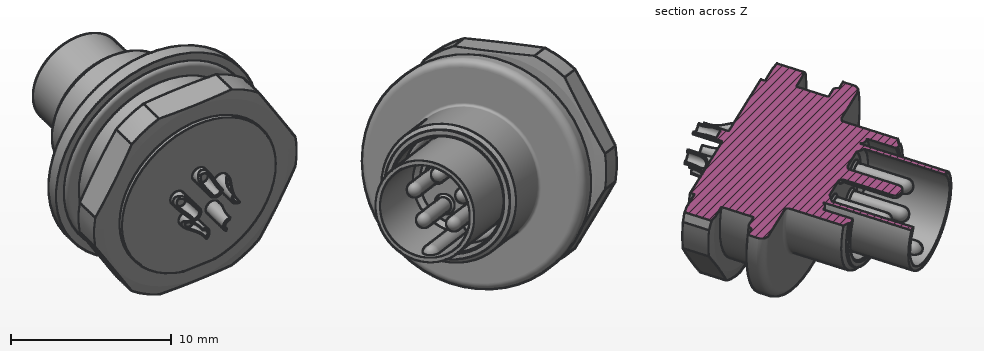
import cadquery as cq
import math

LENGTH = 15.9
TUBE_RADIUS = 6.6 / 2
TUBE_BORE_RADIUS = 6.0 / 2
BORE_FLOOR_RADIUS = 2.65
BORE_FLOOR_X = 5.88

COLLAR_X = 3.69
COLLAR_RADIUS = 9.0 / 2
COLLAR_LIP_RADIUS = 8.38 / 2
COLLAR_LIP_END_X = 3.83
COLLAR_CONE_END_X = 4.02
COLLAR_ROOT_FILLET = 0.19

FLANGE_X = 7.92
FLANGE_END_X = 9.15
FLANGE_RADIUS = 15.0 / 2
FLANGE_FILLET = 0.5

WASHER_END_X = 9.45
WASHER_RADIUS = 6.92
WASHER_FILLET = 0.3

THREAD_RADIUS = 12.0 / 2
NUT_X = 11.6
NUT_END_X = 13.61
BODY_END_X = 13.9
BODY_END_RADIUS = 5.7

GROOVE_RADIUS = 7.5 / 2
GROOVE_MOUTH_RADIUS = 3.85
SEAL_SECTION_RADIUS = 0.32
SEAL_X = 6.04

KEYWAY_WIDTH = 2.32
KEYWAY_FLOOR_Z = -5.56

NUT_ACROSS_FLATS = 13.99
NUT_CORNER_RADIUS = FLANGE_RADIUS
NUT_FACE_RADIUS = 6.84
NUT_CHAMFER_LENGTH = 0.11

PIN_CIRCLE_RADIUS = 1.7
PIN_RADIUS = 1.0 / 2
PIN_NOSE_X = 2.38
PIN_BASE_RADIUS = 0.67
CUP_RADIUS = 0.7 / 2
CUP_FLOOR_X = 14.37
CUP_LIP_OFFSET = -0.13
CUP_CUT_RADIUS = 2.07
CUP_CUT_END_X = 15.68
PIN_ANGLES = (0, 72, 144, -144, -72)
CUP_ANGLES = (0, 60, 108, -108, -60)

KEY_NOSE_X = 1.1
KEY_RADIUS = 0.57
KEY_BASE_RADIUS = 0.86
KEY_AXIS_Z = -3.05


def cylinder(x_start, x_end, radius):
    """Solid cylinder on the X axis between two stations."""
    return cq.Workplane("YZ", origin=(x_start, 0, 0)).circle(radius).extrude(x_end - x_start)


def revolve_about_x(profile):
    """Turn an open profile, drawn in the XY plane, once around the X axis."""
    return profile.close().revolve(360, (0, 0, 0), (1, 0, 0))


def make_shell():
    """Turned outer body: tube, collar, flange, washer and threaded end."""
    shell = revolve_about_x(
        cq.Workplane("XY")
        .lineTo(0, TUBE_RADIUS)
        .lineTo(COLLAR_X, TUBE_RADIUS)
        .lineTo(COLLAR_X, COLLAR_LIP_RADIUS)
        .lineTo(COLLAR_LIP_END_X, COLLAR_LIP_RADIUS)
        .lineTo(COLLAR_CONE_END_X, COLLAR_RADIUS)
        .lineTo(FLANGE_X - COLLAR_ROOT_FILLET, COLLAR_RADIUS)
        .radiusArc((FLANGE_X, COLLAR_RADIUS + COLLAR_ROOT_FILLET), -COLLAR_ROOT_FILLET)
        .lineTo(FLANGE_X, FLANGE_RADIUS - FLANGE_FILLET)
        .radiusArc((FLANGE_X + FLANGE_FILLET, FLANGE_RADIUS), FLANGE_FILLET)
        .lineTo(FLANGE_END_X, FLANGE_RADIUS)
        .lineTo(FLANGE_END_X, WASHER_RADIUS)
        .radiusArc((WASHER_END_X, WASHER_RADIUS - WASHER_FILLET), WASHER_FILLET)
        .lineTo(WASHER_END_X, THREAD_RADIUS)
        .lineTo(NUT_END_X, THREAD_RADIUS)
        .lineTo(NUT_END_X, BODY_END_RADIUS)
        .lineTo(BODY_END_X, BODY_END_RADIUS)
        .lineTo(BODY_END_X, 0)
    )
    keyway_length = BODY_END_X - WASHER_END_X
    keyway_depth = THREAD_RADIUS + KEYWAY_FLOOR_Z
    keyway = cq.Workplane("XY", origin=(WASHER_END_X, 0, -THREAD_RADIUS)).box(
        keyway_length, KEYWAY_WIDTH, keyway_depth, centered=(False, True, False)
    )
    return shell.cut(keyway)


def make_tube_bore():
    """Bore of the tube, with a 45 degree cone down to its flat floor."""
    cone_length = TUBE_BORE_RADIUS - BORE_FLOOR_RADIUS
    return revolve_about_x(
        cq.Workplane("XY")
        .lineTo(0, TUBE_BORE_RADIUS)
        .lineTo(BORE_FLOOR_X - cone_length, TUBE_BORE_RADIUS)
        .lineTo(BORE_FLOOR_X, BORE_FLOOR_RADIUS)
        .lineTo(BORE_FLOOR_X, 0)
    )


def make_seal_groove():
    """Ring-shaped gap around the tube, with a chamfered mouth."""
    chamfer = GROOVE_MOUTH_RADIUS - GROOVE_RADIUS
    return revolve_about_x(
        cq.Workplane("XY")
        .moveTo(COLLAR_X, TUBE_RADIUS)
        .lineTo(COLLAR_X, GROOVE_MOUTH_RADIUS)
        .lineTo(COLLAR_X + chamfer, GROOVE_RADIUS)
        .lineTo(SEAL_X, GROOVE_RADIUS)
        .lineTo(SEAL_X, TUBE_RADIUS)
    )


def make_seal():
    """Sealing ring on the tube, at the floor of the groove."""
    center_radius = TUBE_RADIUS + SEAL_SECTION_RADIUS
    return (
        cq.Workplane("XY")
        .center(SEAL_X, center_radius)
        .circle(SEAL_SECTION_RADIUS)
        .revolve(360, (0, -center_radius, 0), (1, -center_radius, 0))
    )


def make_nut():
    """Hexagon with turned corners on +Y and -Y, chamfered on both faces."""
    hexagon = (
        cq.Workplane("YZ", origin=(NUT_X, 0, 0))
        .polygon(6, NUT_ACROSS_FLATS, circumscribed=True)
        .extrude(NUT_END_X - NUT_X)
        .rotate((0, 0, 0), (1, 0, 0), 90)
    )
    turned_blank = revolve_about_x(
        cq.Workplane("XY")
        .moveTo(NUT_X, 0)
        .lineTo(NUT_X, NUT_FACE_RADIUS)
        .lineTo(NUT_X + NUT_CHAMFER_LENGTH, NUT_CORNER_RADIUS)
        .lineTo(NUT_END_X - NUT_CHAMFER_LENGTH, NUT_CORNER_RADIUS)
        .lineTo(NUT_END_X, NUT_FACE_RADIUS)
        .lineTo(NUT_END_X, 0)
    )
    return hexagon.intersect(turned_blank).cut(cylinder(NUT_X, NUT_END_X, BODY_END_RADIUS))


def round_nosed_rod(nose_x, radius, base_radius, end_x):
    """Rod on the X axis with a hemispherical nose, flaring at 45 degrees onto the bore floor."""
    rod = revolve_about_x(
        cq.Workplane("XY")
        .moveTo(nose_x - radius, 0)
        .radiusArc((nose_x, radius), radius)
        .lineTo(end_x, radius)
        .lineTo(end_x, 0)
    )
    flare_x = BORE_FLOOR_X - (base_radius - radius)
    flare = revolve_about_x(
        cq.Workplane("XY")
        .moveTo(flare_x, 0)
        .lineTo(flare_x, radius)
        .lineTo(BORE_FLOOR_X, base_radius)
        .lineTo(BORE_FLOOR_X, 0)
    )
    return rod.union(flare)


def make_contact():
    """Contact pin on the X axis; its solder cup opens toward +Z."""
    pin = round_nosed_rod(PIN_NOSE_X, PIN_RADIUS, PIN_BASE_RADIUS, LENGTH)
    cup = cylinder(CUP_FLOOR_X, LENGTH, CUP_RADIUS)

    cut_depth = PIN_RADIUS - CUP_LIP_OFFSET
    cut_run = math.sqrt(CUP_CUT_RADIUS**2 - (CUP_CUT_RADIUS - cut_depth) ** 2)
    opening = (
        cq.Workplane("XZ")
        .moveTo(CUP_CUT_END_X - cut_run, PIN_RADIUS)
        .radiusArc((CUP_CUT_END_X, CUP_LIP_OFFSET), -CUP_CUT_RADIUS)
        .lineTo(LENGTH, CUP_LIP_OFFSET)
        .lineTo(LENGTH, PIN_RADIUS)
        .close()
        .extrude(PIN_RADIUS, both=True)
    )
    return pin.cut(cup).cut(opening)


def make_key():
    """Round-nosed key, partly sunk into the bottom of the tube wall."""
    rod = round_nosed_rod(KEY_NOSE_X, KEY_RADIUS, KEY_BASE_RADIUS, BORE_FLOOR_X)
    wall_middle_radius = (TUBE_BORE_RADIUS + TUBE_RADIUS) / 2
    limits = cylinder(0, BORE_FLOOR_X, wall_middle_radius)
    return rod.translate((0, 0, KEY_AXIS_Z)).intersect(limits)


result = make_shell().cut(make_tube_bore()).cut(make_seal_groove())
result = result.union(make_seal()).union(make_nut()).union(make_key())

for pin_angle, cup_angle in zip(PIN_ANGLES, CUP_ANGLES):
    offset_y = -PIN_CIRCLE_RADIUS * math.sin(math.radians(pin_angle))
    offset_z = PIN_CIRCLE_RADIUS * math.cos(math.radians(pin_angle))
    contact = make_contact().rotate((0, 0, 0), (1, 0, 0), cup_angle)
    result = result.union(contact.translate((0, offset_y, offset_z)))